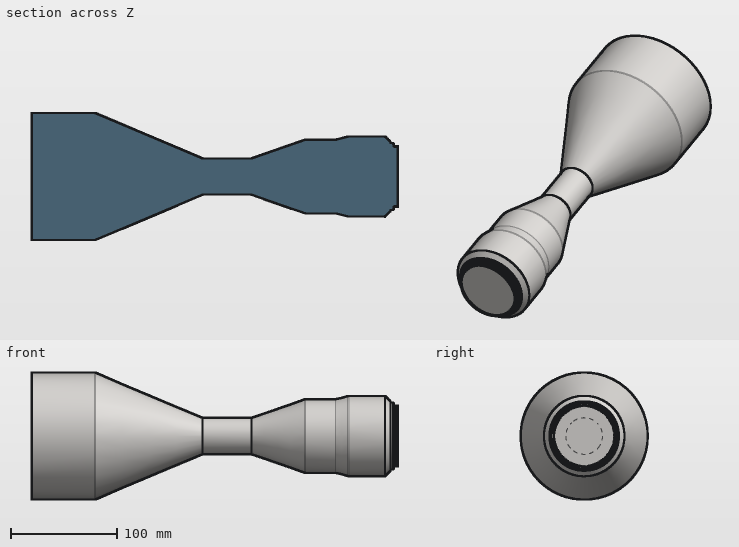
import cadquery as cq

total_length = 345.3
objective_end = 60.5
tube_start = 161.3
tube_end = 207.2
eyepiece_start = 258.3
eyepiece_end = 286.5
collar_start = 299.0
collar_end = 333.2

objective_radius = 60.0
tube_radius = 17.3
eyepiece_radius = 35.0
collar_radius = 38.0
lip_radius = 31.8
end_radius = 28.5

edge_break = 1.0
collar_chamfer = 5.2
lip_end = 340.5
lip_chamfer = 1.0
groove_start = 342.5
groove_end = 344.3
groove_depth = 0.7
bevel_drop = 0.17


def lens_housing_outline():
    """Objective housing and its taper down to the tube."""
    return [
        (0, 0),
        (0, objective_radius),
        (objective_end - edge_break, objective_radius),
        (objective_end, objective_radius - bevel_drop),
        (tube_start, tube_radius),
    ]


def eyepiece_outline():
    """Slim tube, rear taper, eyepiece barrel and the wider collar."""
    return [
        (tube_end, tube_radius),
        (eyepiece_start - edge_break, eyepiece_radius - bevel_drop),
        (eyepiece_start, eyepiece_radius),
        (eyepiece_end, eyepiece_radius),
        (collar_start - edge_break, collar_radius - bevel_drop),
        (collar_start, collar_radius),
        (collar_end, collar_radius),
        (collar_end + collar_chamfer, collar_radius - collar_chamfer),
    ]


def rear_outline():
    """Stepped lip, shallow groove and flat rear end."""
    return [
        (collar_end + collar_chamfer, lip_radius),
        (lip_end, lip_radius),
        (lip_end + lip_chamfer, lip_radius - lip_chamfer),
        (lip_end + lip_chamfer, end_radius),
        (groove_start, end_radius),
        (groove_start, end_radius - groove_depth),
        (groove_end, end_radius - groove_depth),
        (groove_end, end_radius),
        (total_length, end_radius),
        (total_length, 0),
    ]


half_section = lens_housing_outline() + eyepiece_outline() + rear_outline()
result = cq.Workplane("XY").polyline(half_section).close().revolve(360, (0, 0, 0), (1, 0, 0))